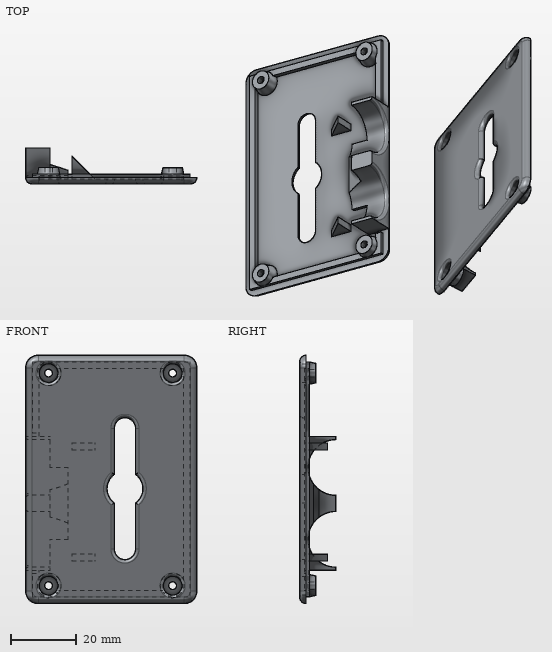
import cadquery as cq
import math

PLATE_WIDTH = 52.5
PLATE_HEIGHT = 76.13
PLATE_THICKNESS = 2.0
FLOOR_THICKNESS = 1.5
CORNER_RADIUS = 3.9
RIM_RADIUS = 1.99

LIP_INSET = 2.1
LIP_WIDTH = 2.0
LIP_BACK = 3.0
LIP_GAP_CLEARANCE = 1.0

SLOT_X = 4.2
SLOT_Z = -2.85
SLOT_WIDTH = 6.4
SLOT_LENGTH = 43.4
SLOT_EYE_DIAMETER = 10.9
SLOT_EDGE_RADIUS = 1.1

SCREW_CENTRE_X = -0.2
SCREW_PITCH_X = 38.0
SCREW_PITCH_Z = 65.1
SCREW_HOLE_DIAMETER = 2.3
HEAD_BORE_DIAMETER = 5.7
HEAD_BORE_DEPTH = 2.5
HEAD_EDGE_RADIUS = 1.0
BOSS_BASE_DIAMETER = 7.6
BOSS_TOP_DIAMETER = 6.0
BOSS_BACK = 5.0

CRADLE_Z = -7.35
CRADLE_DEPTH = 7.55
CRADLE_BACK = 11.1
SADDLE_PITCH = 22.0
SADDLE_RADIUS = 8.5
SADDLE_EDGE_RADIUS = 1.0
SADDLE_OUTER_RADIUS = SADDLE_RADIUS + SADDLE_EDGE_RADIUS
CRADLE_HEIGHT = SADDLE_PITCH + 2 * SADDLE_OUTER_RADIUS
CRADLE_LEFT = -PLATE_WIDTH / 2
CRADLE_RIGHT = CRADLE_LEFT + CRADLE_DEPTH

GUSSET_LENGTH = 5.5
GUSSET_HIGH_BACK = 6.0
GUSSET_LOW_BACK = 4.2

STOP_X = -12.05
STOP_HEIGHT = 7.1
STOP_THICKNESS = 2.2
STOP_PITCH = 34.0
STOP_CENTRE_Z = -6.95


def block(x_min, x_max, y_min, y_max, z_min, z_max):
    """Box given by its limits along each axis."""
    return cq.Workplane("XY").box(
        x_max - x_min, y_max - y_min, z_max - z_min, centered=False
    ).translate((x_min, y_min, z_min))


def cradle_block(y_min, y_max, clearance=0):
    """Block over the cradle footprint, with optional clearance at both Z ends."""
    reach = CRADLE_HEIGHT / 2 + clearance
    return block(CRADLE_LEFT, CRADLE_RIGHT, y_min, y_max, CRADLE_Z - reach, CRADLE_Z + reach)


def make_plate():
    plate = cq.Workplane("XY").box(PLATE_WIDTH, PLATE_THICKNESS, PLATE_HEIGHT)
    plate = plate.translate((0, PLATE_THICKNESS / 2, 0))
    plate = plate.edges("|Y").fillet(CORNER_RADIUS)
    return plate.faces("<Y").edges().fillet(RIM_RADIUS)


def inset_block(inset, y_max):
    """Block standing on the floor, inset from the plate outline."""
    half_width = PLATE_WIDTH / 2 - inset
    half_height = PLATE_HEIGHT / 2 - inset
    return block(-half_width, half_width, FLOOR_THICKNESS, y_max, -half_height, half_height)


def make_floor_pocket():
    """Shallow pocket inside the lip, leaving the plate at full thickness under the cradle."""
    cradle_base = cradle_block(0, PLATE_THICKNESS)
    return inset_block(LIP_INSET + LIP_WIDTH, PLATE_THICKNESS).cut(cradle_base)


def make_lip():
    lip = inset_block(LIP_INSET, LIP_BACK).cut(inset_block(LIP_INSET + LIP_WIDTH, LIP_BACK))
    return lip.cut(cradle_block(PLATE_THICKNESS, LIP_BACK, LIP_GAP_CLEARANCE))


def make_slot_cutter():
    """Long slot with a round eye at its middle."""
    plane = cq.Workplane("XZ", origin=(SLOT_X, 0, SLOT_Z))
    slot = plane.slot2D(SLOT_LENGTH, SLOT_WIDTH, 90).extrude(-FLOOR_THICKNESS)
    eye = plane.circle(SLOT_EYE_DIAMETER / 2).extrude(-FLOOR_THICKNESS)
    return slot.union(eye)


def cut_slot(body):
    body = body.cut(make_slot_cutter())
    reach = SLOT_LENGTH / 2 + SLOT_EDGE_RADIUS
    rim = cq.selectors.BoxSelector(
        (SLOT_X - reach, -SLOT_EDGE_RADIUS / 2, SLOT_Z - reach),
        (SLOT_X + reach, SLOT_EDGE_RADIUS / 2, SLOT_Z + reach),
    )
    return body.faces("<Y").edges(rim).fillet(SLOT_EDGE_RADIUS)


def make_boss():
    """Tapered boss around the Y axis, standing on the floor."""
    profile = cq.Workplane("XY").polyline([
        (0, FLOOR_THICKNESS),
        (BOSS_BASE_DIAMETER / 2, FLOOR_THICKNESS),
        (BOSS_TOP_DIAMETER / 2, BOSS_BACK),
        (0, BOSS_BACK),
    ]).close()
    return profile.revolve(360, (0, 0, 0), (0, 1, 0))


def make_screw_cutter():
    """Screw hole and head bore around the Y axis, with a rounded front edge."""
    hole_radius = SCREW_HOLE_DIAMETER / 2
    bore_radius = HEAD_BORE_DIAMETER / 2
    diagonal = HEAD_EDGE_RADIUS * (1 - math.sqrt(0.5))
    profile = (
        cq.Workplane("XY")
        .lineTo(bore_radius + HEAD_EDGE_RADIUS, 0)
        .threePointArc((bore_radius + diagonal, diagonal), (bore_radius, HEAD_EDGE_RADIUS))
        .lineTo(bore_radius, HEAD_BORE_DEPTH)
        .lineTo(hole_radius, HEAD_BORE_DEPTH)
        .lineTo(hole_radius, BOSS_BACK)
        .lineTo(0, BOSS_BACK)
        .close()
    )
    return profile.revolve(360, (0, 0, 0), (0, 1, 0))


def make_saddle_cutter(z):
    """Round saddle along X, flaring with a rounded edge at the -X side."""
    diagonal = SADDLE_EDGE_RADIUS * (1 - math.sqrt(0.5))
    length = CRADLE_DEPTH + GUSSET_LENGTH
    profile = (
        cq.Workplane("XY")
        .lineTo(0, SADDLE_OUTER_RADIUS)
        .threePointArc(
            (diagonal, SADDLE_RADIUS + diagonal), (SADDLE_EDGE_RADIUS, SADDLE_RADIUS)
        )
        .lineTo(length, SADDLE_RADIUS)
        .lineTo(length, 0)
        .close()
    )
    cutter = profile.revolve(360, (0, 0, 0), (1, 0, 0))
    return cutter.translate((CRADLE_LEFT, CRADLE_BACK, z))


def make_gusset():
    gusset_right = CRADLE_RIGHT + GUSSET_LENGTH
    profile = cq.Workplane("XY").polyline([
        (CRADLE_RIGHT, FLOOR_THICKNESS),
        (gusset_right, FLOOR_THICKNESS),
        (gusset_right, GUSSET_LOW_BACK),
        (CRADLE_RIGHT, GUSSET_HIGH_BACK),
    ]).close()
    return profile.extrude(SADDLE_PITCH / 2, both=True).translate((0, 0, CRADLE_Z))


def make_stop(z):
    profile = cq.Workplane("XY").polyline([
        (STOP_X, FLOOR_THICKNESS),
        (STOP_X + STOP_HEIGHT, FLOOR_THICKNESS),
        (STOP_X, FLOOR_THICKNESS + STOP_HEIGHT),
    ]).close()
    return profile.extrude(STOP_THICKNESS / 2, both=True).translate((0, 0, z))


def add_cradle(body):
    """Add the cradle and gusset; the saddles also nick the back of the plate at the -X edge."""
    body = body.union(cradle_block(PLATE_THICKNESS, CRADLE_BACK)).union(make_gusset())
    for side in (-1, 1):
        body = body.cut(make_saddle_cutter(CRADLE_Z + side * SADDLE_PITCH / 2))
    return body


def add_stops(body):
    for side in (-1, 1):
        body = body.union(make_stop(STOP_CENTRE_Z + side * STOP_PITCH / 2))
    return body


def add_screw_bosses(body):
    """Add the bosses, trimmed flush with the outer sides of the lip, and cut their screw holes."""
    boss = make_boss()
    boss_limit = inset_block(LIP_INSET, BOSS_BACK)
    screw_cutter = make_screw_cutter()
    for x_side in (-1, 1):
        for z_side in (-1, 1):
            centre = (SCREW_CENTRE_X + x_side * SCREW_PITCH_X / 2, 0, z_side * SCREW_PITCH_Z / 2)
            body = body.union(boss.translate(centre).intersect(boss_limit))
            body = body.cut(screw_cutter.translate(centre))
    return body


def build_part():
    body = cut_slot(make_plate().cut(make_floor_pocket()))
    body = add_cradle(body)
    body = body.union(make_lip())
    body = add_stops(body)
    return add_screw_bosses(body)


result = build_part()